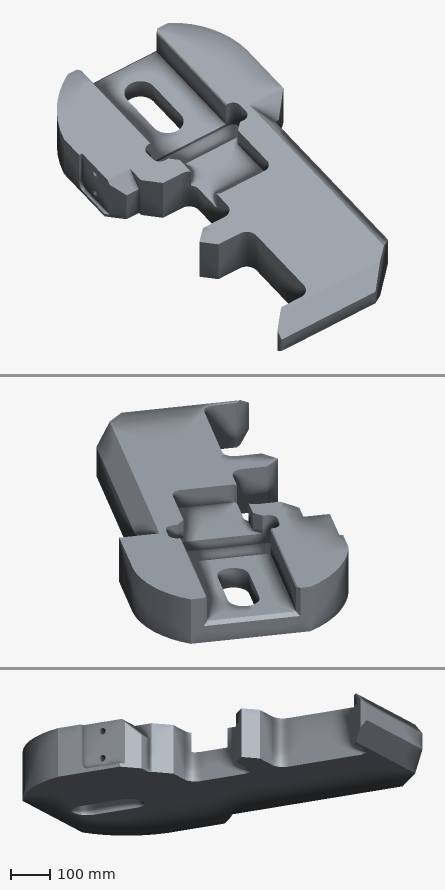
import cadquery as cq

LENGTH = 1038.0
WIDTH = 560.0
HEIGHT = 130.0

HEAD_LOW_Y = 138.0
HEAD_HIGH_Y = 450.0
LOW_ARC_END_X = 181.0
HIGH_ARC_END_X = 192.0
LOW_ARC_RADIUS = 290.0
HIGH_ARC_RADIUS = 239.0
HEAD_END_X = 402.0
HEAD_CHAMFER = 48.0
LOW_SHOULDER = 40.0
SHOULDER_Y = 79.0

ARM_TOP_Y = 500.0
ARM_CHAMFER = 45.0
ARM_CORNER = 131.0
TIP_CHAMFER_X = 48.0
TIP_CHAMFER_Z = 44.0
NOTCH_TOP_Y = 210.0
NOTCH_RADIUS = 30.0
CORNER_SEARCH = 1.0
FIRST_NOTCH = (450.0, 637.0)
SECOND_NOTCH = (707.0, 977.0)
TOOTH_TIP_Y = 78.0
TOOTH_BEVEL = (SECOND_NOTCH[0] - FIRST_NOTCH[1]) / 2
END_BEVEL = 42.0

AXIS_Y = 290.0
POCKET_WIDTH = 232.0
POCKET_FLOOR = 57.0
RIM_CHAMFER = 3.0
ENTRY_CHAMFER = 9.0
GROOVE_START_X = 319.0
GROOVE_END_X = 388.0
GROOVE_LENGTH = 290.0
GROOVE_RADIUS = 23.0
GROOVE_FLOOR = 49.0
SEAT_END_X = 563.0
SEAT_WIDTH = 181.0
SEAT_FLOOR = 78.0
SEAT_RADIUS = 25.0
SEAT_MOUTH_BEVEL = 21.0
SLOT_START_X = 63.0
SLOT_LENGTH = 202.0
SLOT_WIDTH = 82.0

PLATE_START_X = 248.0
PLATE_BOTTOM_Z = 9.0
PLATE_DEPTH = 9.0
PLATE_RADIUS = 21.0
SCREW_X = 305.0
SCREW_HEIGHTS = (33.0, 105.0)
SCREW_DIAMETER = 18.0
SCREW_DEPTH = 26.0


def box(x_range, y_range, z_range):
    """Box spanning the three given ranges."""
    size = [high - low for low, high in (x_range, y_range, z_range)]
    corner = (x_range[0], y_range[0], z_range[0])
    return cq.Workplane("XY").box(*size, centered=False).translate(corner)


def body():
    """Plan outline extruded to the full height."""
    block = (
        cq.Workplane("XY")
        .moveTo(0, HEAD_HIGH_Y)
        .radiusArc((HIGH_ARC_END_X, WIDTH), HIGH_ARC_RADIUS)
        .lineTo(HEAD_END_X - HEAD_CHAMFER, WIDTH)
        .lineTo(HEAD_END_X, WIDTH - HEAD_CHAMFER)
        .lineTo(HEAD_END_X, ARM_TOP_Y)
        .lineTo(LENGTH - ARM_CORNER, ARM_TOP_Y)
        .lineTo(LENGTH, ARM_TOP_Y - ARM_CORNER)
        .lineTo(LENGTH, TOOTH_TIP_Y)
        .lineTo(SECOND_NOTCH[1] + END_BEVEL, TOOTH_TIP_Y)
        .lineTo(SECOND_NOTCH[1], TOOTH_TIP_Y + END_BEVEL)
        .lineTo(SECOND_NOTCH[1], NOTCH_TOP_Y)
        .lineTo(SECOND_NOTCH[0], NOTCH_TOP_Y)
        .lineTo(SECOND_NOTCH[0], TOOTH_TIP_Y + TOOTH_BEVEL)
        .lineTo(SECOND_NOTCH[0] - TOOTH_BEVEL, TOOTH_TIP_Y)
        .lineTo(FIRST_NOTCH[1], TOOTH_TIP_Y + TOOTH_BEVEL)
        .lineTo(FIRST_NOTCH[1], NOTCH_TOP_Y)
        .lineTo(FIRST_NOTCH[0], NOTCH_TOP_Y)
        .lineTo(FIRST_NOTCH[0], SHOULDER_Y + LOW_SHOULDER)
        .lineTo(FIRST_NOTCH[0] - LOW_SHOULDER, SHOULDER_Y)
        .lineTo(HEAD_END_X, SHOULDER_Y)
        .lineTo(HEAD_END_X, LOW_SHOULDER)
        .lineTo(HEAD_END_X - LOW_SHOULDER, 0)
        .lineTo(LOW_ARC_END_X, 0)
        .radiusArc((0, HEAD_LOW_Y), LOW_ARC_RADIUS)
        .close()
        .extrude(HEIGHT)
    )
    for notch in (FIRST_NOTCH, SECOND_NOTCH):
        for x in notch:
            selector = cq.selectors.BoxSelector(
                (x - CORNER_SEARCH, NOTCH_TOP_Y - CORNER_SEARCH, 0),
                (x + CORNER_SEARCH, NOTCH_TOP_Y + CORNER_SEARCH, HEIGHT),
            )
            block = block.edges(selector).fillet(NOTCH_RADIUS)
    return block


def top_wedge_x(end_x, size, drop, y_range):
    """Cutter that slopes the top face down towards +X, ending at end_x."""
    points = [(end_x - size, HEIGHT), (end_x, HEIGHT), (end_x, HEIGHT - drop)]
    profile = cq.Workplane("XZ", origin=(0, y_range[1], 0)).polyline(points).close()
    return profile.extrude(y_range[1] - y_range[0])


def chamfer_cutters():
    """Top slopes at the head shoulders and arm, plus both slopes of the arm tip."""
    arm_slope_start = ARM_TOP_Y - ARM_CHAMFER
    head_slope_start = HEAD_END_X - HEAD_CHAMFER
    arm_points = [
        (arm_slope_start, HEIGHT),
        (ARM_TOP_Y, HEIGHT),
        (ARM_TOP_Y, HEIGHT - ARM_CHAMFER),
    ]
    arm = (
        cq.Workplane("YZ", origin=(head_slope_start, 0, 0))
        .polyline(arm_points)
        .close()
        .extrude(LENGTH - head_slope_start)
    )
    back = top_wedge_x(HEAD_END_X, HEAD_CHAMFER, HEAD_CHAMFER, (arm_slope_start, WIDTH))
    head_side = (
        cq.Workplane("XY")
        .polyline([
            (head_slope_start, arm_slope_start),
            (HEAD_END_X, ARM_TOP_Y),
            (head_slope_start, ARM_TOP_Y),
        ])
        .close()
        .extrude(HEIGHT)
    )
    arm = arm.cut(head_side)
    arm_side = (
        cq.Workplane("XY")
        .polyline([
            (head_slope_start, arm_slope_start),
            (HEAD_END_X, ARM_TOP_Y),
            (HEAD_END_X, arm_slope_start),
        ])
        .close()
        .extrude(HEIGHT)
    )
    back = back.cut(arm_side)
    front = top_wedge_x(HEAD_END_X, LOW_SHOULDER, LOW_SHOULDER, (0, SHOULDER_Y))
    tip = top_wedge_x(LENGTH, TIP_CHAMFER_X, TIP_CHAMFER_Z, (0, WIDTH))
    tip_below = tip.mirror("XY", (0, 0, HEIGHT / 2))
    return [arm, back, front, tip, tip_below]


def pocket_cutter():
    """Open-ended pocket with a flared entry and a small rim chamfer."""
    half = POCKET_WIDTH / 2
    pocket = box((0, GROOVE_START_X), (AXIS_Y - half, AXIS_Y + half), (POCKET_FLOOR, HEIGHT))
    flare = (
        cq.Workplane("YZ")
        .center(AXIS_Y, HEIGHT)
        .rect(POCKET_WIDTH + 2 * ENTRY_CHAMFER, 2 * (HEIGHT - POCKET_FLOOR + ENTRY_CHAMFER))
        .workplane(offset=ENTRY_CHAMFER)
        .rect(POCKET_WIDTH, 2 * (HEIGHT - POCKET_FLOOR))
        .loft(ruled=True)
    )
    rim_points = [
        (AXIS_Y - half - RIM_CHAMFER, HEIGHT),
        (AXIS_Y + half + RIM_CHAMFER, HEIGHT),
        (AXIS_Y + half, HEIGHT - RIM_CHAMFER),
        (AXIS_Y - half, HEIGHT - RIM_CHAMFER),
    ]
    rim = cq.Workplane("YZ").polyline(rim_points).close().extrude(GROOVE_START_X)
    return pocket.union(flare).union(rim)


def groove_cutter():
    """Round-cornered groove across the end of the pocket."""
    half = GROOVE_LENGTH / 2
    groove = box((GROOVE_START_X, GROOVE_END_X), (AXIS_Y - half, AXIS_Y + half), (GROOVE_FLOOR, HEIGHT))
    return groove.edges("|Z").fillet(GROOVE_RADIUS)


def seat_cutter():
    """Shallow seat beyond the groove, with a flared mouth."""
    half = SEAT_WIDTH / 2
    seat = box((GROOVE_END_X, SEAT_END_X), (AXIS_Y - half, AXIS_Y + half), (SEAT_FLOOR, HEIGHT))
    seat = seat.edges("|Z and >X").fillet(SEAT_RADIUS)
    mouth_half = half + SEAT_MOUTH_BEVEL
    mouth_points = [
        (GROOVE_END_X, AXIS_Y - mouth_half),
        (GROOVE_END_X + SEAT_MOUTH_BEVEL, AXIS_Y - half),
        (GROOVE_END_X + SEAT_MOUTH_BEVEL, AXIS_Y + half),
        (GROOVE_END_X, AXIS_Y + mouth_half),
    ]
    mouth = cq.Workplane("XY", origin=(0, 0, SEAT_FLOOR)).polyline(mouth_points).close()
    return seat.union(mouth.extrude(HEIGHT - SEAT_FLOOR))


def slot_cutter():
    """Vertical through slot in the pocket floor."""
    center_x = SLOT_START_X + SLOT_LENGTH / 2
    return cq.Workplane("XY").center(center_x, AXIS_Y).slot2D(SLOT_LENGTH, SLOT_WIDTH).extrude(HEIGHT)


def plate_cutters():
    """Side recess open at the top and +X end, with two blind screw holes."""
    recess = box((PLATE_START_X, HEAD_END_X), (0, PLATE_DEPTH), (PLATE_BOTTOM_Z, HEIGHT))
    recess = recess.edges("|Y and <X and <Z").fillet(PLATE_RADIUS)
    holes = (
        cq.Workplane("XZ")
        .pushPoints([(SCREW_X, z) for z in SCREW_HEIGHTS])
        .circle(SCREW_DIAMETER / 2)
        .extrude(-PLATE_DEPTH - SCREW_DEPTH)
    )
    return [recess, holes]


result = body()
cutters = chamfer_cutters() + plate_cutters()
cutters += [pocket_cutter(), groove_cutter(), seat_cutter(), slot_cutter()]
for cutter in cutters:
    result = result.cut(cutter)